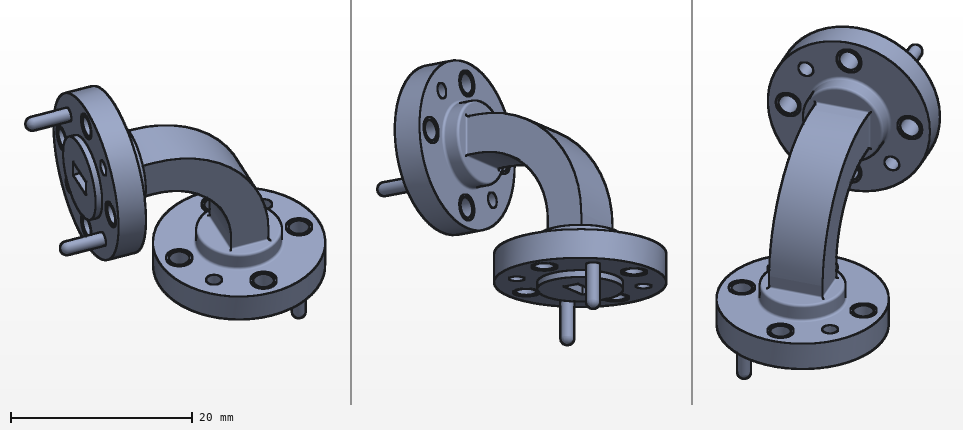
import cadquery as cq
import math

overall_size = 32.9

bend_radius = 11.45
straight_length = 1.5
tube_width = 6.28
tube_depth = 4.45
bore_width = 3.75
bore_depth = 1.87
weld_radius = 0.2

flange_diameter = 19.05
flange_thickness = 3.3
collar_diameter = 9.5
collar_height = 2.0
collar_round = 0.3
collar_root_fillet = 0.3
face_diameter = 9.5
face_height = 0.8

pitch_radius = 7.15
screw_diameter = 2.3
counterbore_diameter = 2.9
counterbore_depth = 0.1
dowel_hole_diameter = 1.75
pin_diameter = 1.58
tip_fraction = 0.99

collar_top = -straight_length
flange_top = collar_top - collar_height
flange_bottom = flange_top - flange_thickness
face_bottom = flange_bottom - face_height
pin_bottom = bend_radius + flange_diameter / 2 - overall_size
pin_length = flange_bottom - pin_bottom

screw_angles = [0, 90, 180, 270]
dowel_hole_angles = [135, 315]
pin_angles = [45, 225]


def axis_plane(z):
    """Horizontal plane at height z, centred on the horizontal flange."""
    return cq.Workplane("XY", origin=(0, bend_radius, z))


def on_pitch_circle(angles):
    return [
        (pitch_radius * math.cos(math.radians(a)), pitch_radius * math.sin(math.radians(a)))
        for a in angles
    ]


def quarter_bend(width, depth):
    """Quarter-turn bar of rectangular section, swept about the X axis."""
    profile = axis_plane(0).rect(width, depth)
    return profile.revolve(90, (0, -bend_radius, 0), (1, -bend_radius, 0))


def drill_screw_holes(body):
    """Through holes with a shallow counterbore at each face of the flange."""
    centres = on_pitch_circle(screw_angles)
    hole = axis_plane(flange_bottom).pushPoints(centres).circle(screw_diameter / 2)
    body = body.cut(hole.extrude(flange_thickness))
    for z in (flange_bottom, flange_top - counterbore_depth):
        counterbore = axis_plane(z).pushPoints(centres).circle(counterbore_diameter / 2)
        body = body.cut(counterbore.extrude(counterbore_depth))
    return body


def drill_dowel_holes(body):
    centres = on_pitch_circle(dowel_hole_angles)
    hole = axis_plane(flange_bottom).pushPoints(centres).circle(dowel_hole_diameter / 2)
    return body.cut(hole.extrude(flange_thickness))


def flared_prism(plane, width, length):
    """Prism with concave flares at its foot, centred on the axis of the horizontal flange."""
    half_width = width / 2
    foot = half_width + weld_radius
    flare_top = collar_top + weld_radius
    profile = (
        cq.Workplane(plane, origin=(0, bend_radius, 0))
        .moveTo(-foot, collar_top)
        .radiusArc((-half_width, flare_top), -weld_radius)
        .lineTo(half_width, flare_top)
        .radiusArc((foot, collar_top), -weld_radius)
        .close()
    )
    return profile.extrude(length / 2 + weld_radius, both=True)


def weld_bead():
    """Concave bead around the tube, mitred at the four corners."""
    across = flared_prism("XZ", tube_width, tube_depth)
    return across.intersect(flared_prism("YZ", tube_depth, tube_width))


def locating_pins():
    pins = axis_plane(pin_bottom).pushPoints(on_pitch_circle(pin_angles))
    pins = pins.circle(pin_diameter / 2).extrude(pin_length)
    return pins.faces("<Z").edges().fillet(tip_fraction * pin_diameter / 2)


def collar():
    """Collar behind the flange, rounded at its top and flared into the flange at its root."""
    radius = collar_diameter / 2
    profile = (
        cq.Workplane("XZ")
        .moveTo(0, collar_top)
        .lineTo(radius - collar_round, collar_top)
        .radiusArc((radius, collar_top - collar_round), collar_round)
        .lineTo(radius, flange_top + collar_root_fillet)
        .radiusArc((radius + collar_root_fillet, flange_top), -collar_root_fillet)
        .lineTo(0, flange_top)
        .close()
    )
    return profile.revolve(360, (0, 0, 0), (0, 1, 0)).translate((0, bend_radius, 0))


def flange_end():
    """Horizontal flange with its collar, mating face, pins and straight tube."""
    body = axis_plane(flange_bottom).circle(flange_diameter / 2).extrude(flange_thickness)
    body = drill_dowel_holes(drill_screw_holes(body))
    face = axis_plane(face_bottom).circle(face_diameter / 2).extrude(face_height)
    tube = axis_plane(collar_top).rect(tube_width, tube_depth).extrude(straight_length)
    body = body.union(collar()).union(face).union(tube).union(weld_bead()).union(locating_pins())

    bore = axis_plane(face_bottom).rect(bore_width, bore_depth).extrude(-face_bottom)
    return body.cut(bore)


bottom_end = flange_end()
front_end = bottom_end.rotate((0, 0, 0), (0, 1, 1), 180)
bend = quarter_bend(tube_width, tube_depth).cut(quarter_bend(bore_width, bore_depth))

result = bend.union(bottom_end).union(front_end)